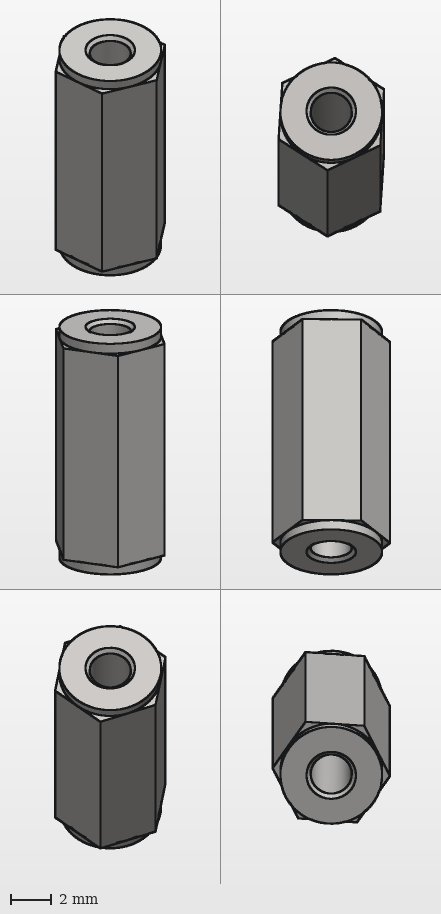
import cadquery as cq
import math

total_length = 12.0
across_flats = 5.0
collar_length = 0.5
bore_diameter = 2.02
countersink_diameter = 2.42
countersink_angle = 90.0

hex_length = total_length - 2 * collar_length
across_corners = across_flats / math.cos(math.radians(30))

core = cq.Workplane("XY").circle(across_flats / 2).extrude(total_length)

hex_body = (
    cq.Workplane("XY")
    .workplane(offset=collar_length)
    .polygon(6, across_corners)
    .extrude(hex_length)
)

result = (
    hex_body.union(core)
    .faces(">Z")
    .workplane(origin=(0, 0, total_length))
    .cskHole(bore_diameter, countersink_diameter, countersink_angle)
    .faces("<Z")
    .workplane(origin=(0, 0, 0))
    .cskHole(bore_diameter, countersink_diameter, countersink_angle)
)